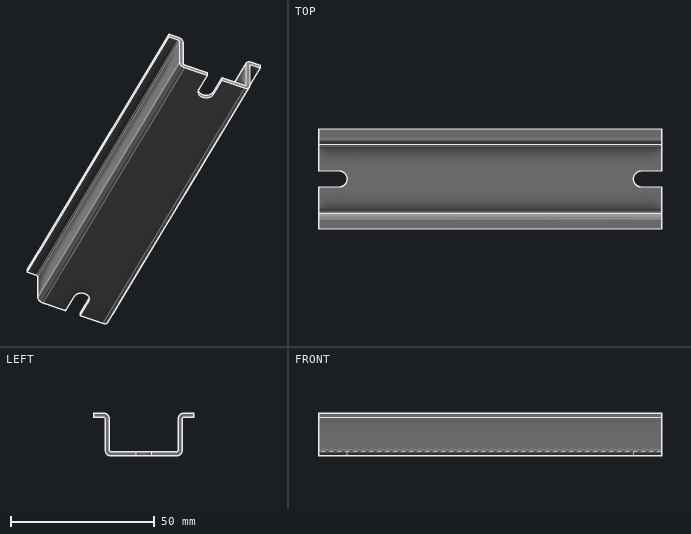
import cadquery as cq

length = 120.0
width = 35.0
height = 15.0

channel_outer_width = 27.0
channel_inner_width = 24.0
sheet = (channel_outer_width - channel_inner_width) / 2

bend_inner_radius = 0.5
bend_outer_radius = bend_inner_radius + sheet

slot_width = 5.5
slot_depth = 10.0


def bar(size_y, size_z, bottom_z):
    """Full-length bar centred on X and Y, with its underside at bottom_z."""
    return (
        cq.Workplane("XY", origin=(0, 0, bottom_z))
        .box(length, size_y, size_z, centered=(True, True, False))
    )


def round_bends(body, half_width, z, radius):
    """Round the pair of lengthwise edges at +/- half_width and height z."""
    for side in (-1, 1):
        edge = cq.selectors.NearestToPointSelector((0, side * half_width, z))
        body = body.edges(edge).fillet(radius)
    return body


def sharp_rail():
    """Channel and flanges with square corners."""
    channel = bar(channel_outer_width, height, 0)
    flanges = bar(width, sheet, height - sheet)
    cavity = bar(channel_inner_width, height, sheet)
    return channel.union(flanges).cut(cavity)


def end_slot(side):
    """Slot with a round inner end, opening through the end at +X or -X."""
    slot_length = 2 * slot_depth
    return (
        cq.Workplane("XY")
        .center(side * length / 2, 0)
        .slot2D(slot_length, slot_width)
        .extrude(sheet)
    )


outer_half = channel_outer_width / 2
inner_half = channel_inner_width / 2

result = sharp_rail()
result = round_bends(result, outer_half, 0, bend_outer_radius)
result = round_bends(result, inner_half, sheet, bend_inner_radius)
result = round_bends(result, inner_half, height, bend_outer_radius)
result = round_bends(result, outer_half, height - sheet, bend_inner_radius)
for end in (-1, 1):
    result = result.cut(end_slot(end))